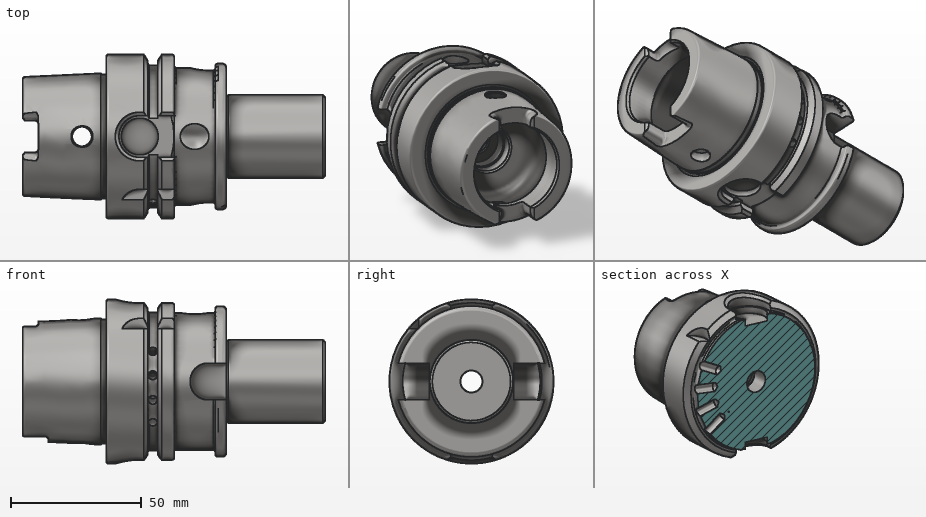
import cadquery as cq
import math

OVERSHOOT = 5.8

OVERALL_LENGTH = 116.0
TAPER_END = 29.9
FLANGE_START = 32.0
COLLAR_END = 58.1
RING_START = 73.8
RING_END = 78.1
NECK_END = 78.8
SHANK_LEAD_END = 79.5

TAPER_NOSE_RADIUS = 22.9
TAPER_BASE_RADIUS = 24.2
RELIEF_RADIUS = 23.8
FLANGE_RADIUS = 63.0 / 2
BODY_RADIUS = 26.3
RING_RADIUS = 28.9
NECK_RADIUS = 15.5
SHANK_RADIUS = 16.0

NOSE_FILLET = 1.2
RELIEF_RUNOUT = 0.8
RELIEF_STEP = 0.2
FACE_UNDERCUT_RADIUS = 25.3
FACE_UNDERCUT_DEPTH = 0.3
FLANGE_FILLET = 1.0
BODY_ROOT_FILLET = 0.7
RING_FRONT_FILLET = 1.2
RING_REAR_FILLET = 1.7
SHANK_CHAMFER = 1.0
NECK_ROOT_FILLET = 0.3
SHANK_LEAD_STEP = 0.1

GROOVE_START = 48.0
GROOVE_END = 51.7
GROOVE_FLOOR_RADIUS = 27.4
GROOVE_WALL_RADIUS = 29.0
GROOVE_FLARE = 1.6
GROOVE_ROOT_FILLET = 0.6

BORE_RADIUS = 16.9
BORE_CHAMFER = 0.6
BORE_CHAMFER_DEPTH = 1.3
BORE_STRAIGHT_DEPTH = 12.8
BORE_UNDERCUT_RADIUS = 20.0
BORE_UNDERCUT_ANGLE = 60.0
BORE_FLOOR_FILLET = 4.4
BORE_DEPTH = 30.3
TUBE_SEAT_RADIUS = 8.7
TUBE_SEAT_CHAMFER = 0.7
TUBE_THREAD_RADIUS = 8.1
TUBE_THREAD_START = 5.8
TUBE_SEAT_DEPTH = 11.6
COOLANT_RADIUS = 4.2
COOLANT_CHAMFER = 0.6

NOTCH_HALF_WIDTH = 6.0
NOTCH_LIP_RADIUS = 3.1
NOTCH_LIP_HEIGHT = 18.0
NOTCH_FLOOR_FILLET = 1.3
NOTCH_MOUTH_WIDTH = 1.2
NOTCH_MOUTH_DEPTH = 0.9
UPPER_NOTCH_DEPTH = 6.0
LOWER_NOTCH_DEPTH = 9.9

CROSS_HOLE_X = 22.7
CROSS_HOLE_RADIUS = 3.7
CROSS_HOLE_RIM = 0.5
CROSS_HOLE_RIM_DEPTH = 1.0

DRIVE_CENTER_X = 44.9
DRIVE_HALF_WIDTH = 8.0
DRIVE_FLOOR_HEIGHT = 26.5
DRIVE_CHAMFER = 1.4
DRIVE_RUNOUT = 1.3
DRIVE_RECESS_RADIUS = 7.1
DRIVE_RECESS_DEPTH = 2.7

ORIENTATION_CUT = 20.2
ORIENTATION_END_RADIUS = 7.7

BALANCE_RADIUS = 3.4 / 2
BALANCE_BOTTOM_RADIUS = 19.1
BALANCE_TIP_LENGTH = 1.0
BALANCE_ANGLES = (25, 5, -15, -35)

KEY_CENTER_X = 71.2
KEY_HALF_WIDTH = 7.1
KEY_FLOOR_OFFSET = 16.2
DIMPLE_X = 65.9
DIMPLE_SPHERE_RADIUS = 8.2
DIMPLE_SPHERE_HEIGHT = 32.5


def disc(start, end, radius):
    """Solid cylinder about the X axis."""
    return cq.Workplane("YZ", origin=(start, 0, 0)).circle(radius).extrude(end - start)


def turned(points):
    """Solid of revolution about the X axis from (x, radius) points."""
    return cq.Workplane("XY").polyline(points).close().revolve(360, (0, 0), (1, 0))


def root_fillet(x, radius, size):
    """Concave ring filling the corner between a cylinder and a shoulder.

    The shoulder stands at x; the ring lies behind it for a positive size and ahead of it for a negative one.
    """
    height = radius + abs(size)
    return (
        cq.Workplane("XY")
        .moveTo(x, radius)
        .lineTo(x, height)
        .radiusArc((x + size, radius), -size)
        .close()
        .revolve(360, (0, 0), (1, 0))
    )


def flipped(shape):
    """The same shape turned half round the X axis."""
    return shape.rotate((0, 0, 0), (1, 0, 0), 180)


def taper():
    cone = turned([
        (0, 0),
        (0, TAPER_NOSE_RADIUS),
        (TAPER_END, TAPER_BASE_RADIUS),
        (TAPER_END, RELIEF_RADIUS + RELIEF_STEP),
        (TAPER_END + RELIEF_RUNOUT, RELIEF_RADIUS),
        (FLANGE_START, RELIEF_RADIUS),
        (FLANGE_START, 0),
    ])
    return cone.faces("<X").edges().fillet(NOSE_FILLET)


def drive_slot():
    """Slot above the axis, round at its front end and open to the rear."""
    outline = cq.Workplane("XY", origin=(0, 0, DRIVE_FLOOR_HEIGHT))
    round_end = outline.center(DRIVE_CENTER_X, 0).circle(DRIVE_HALF_WIDTH).extrude(FLANGE_RADIUS)
    run = COLLAR_END + OVERSHOOT - DRIVE_CENTER_X
    channel = (
        outline.center(DRIVE_CENTER_X + run / 2, 0)
        .rect(run, 2 * DRIVE_HALF_WIDTH)
        .extrude(FLANGE_RADIUS)
    )
    return round_end.union(channel)


def drive_recess():
    """Round recess sunk into the floor of the upper drive slot."""
    return (
        cq.Workplane("XY", origin=(DRIVE_CENTER_X, 0, DRIVE_FLOOR_HEIGHT - DRIVE_RECESS_DEPTH))
        .circle(DRIVE_RECESS_RADIUS)
        .extrude(DRIVE_RECESS_DEPTH + OVERSHOOT)
    )


def v_groove():
    groove = turned([
        (GROOVE_START, GROOVE_FLOOR_RADIUS),
        (GROOVE_START, GROOVE_WALL_RADIUS),
        (GROOVE_START - GROOVE_FLARE, FLANGE_RADIUS),
        (GROOVE_START - GROOVE_FLARE, FLANGE_RADIUS + OVERSHOOT),
        (GROOVE_END + GROOVE_FLARE, FLANGE_RADIUS + OVERSHOOT),
        (GROOVE_END + GROOVE_FLARE, FLANGE_RADIUS),
        (GROOVE_END, GROOVE_WALL_RADIUS),
        (GROOVE_END, GROOVE_FLOOR_RADIUS),
    ])
    return groove.cut(root_fillet(GROOVE_START, GROOVE_FLOOR_RADIUS, GROOVE_ROOT_FILLET))


def orientation_notch():
    """Corner cut at the upper -Y side, rounded at its front end."""
    corner_y = -ORIENTATION_CUT
    plane = cq.Workplane("XY", origin=(0, 0, ORIENTATION_CUT))
    run = COLLAR_END - DRIVE_CENTER_X
    channel = (
        plane.center(DRIVE_CENTER_X + run / 2, corner_y - ORIENTATION_END_RADIUS)
        .rect(run, 2 * ORIENTATION_END_RADIUS)
        .extrude(FLANGE_RADIUS)
    )
    round_end = (
        plane.center(DRIVE_CENTER_X, corner_y - ORIENTATION_END_RADIUS)
        .circle(ORIENTATION_END_RADIUS)
        .extrude(FLANGE_RADIUS)
    )
    return channel.union(round_end)


def balance_hole(angle):
    """Drilled radial hole on the -Y side, raised by the given angle above the horizontal."""
    hole = (
        cq.Workplane("XY", origin=((GROOVE_START + GROOVE_END) / 2, 0, 0))
        .polyline([
            (0, BALANCE_TIP_LENGTH - BALANCE_BOTTOM_RADIUS),
            (BALANCE_RADIUS, -BALANCE_BOTTOM_RADIUS),
            (BALANCE_RADIUS, -GROOVE_WALL_RADIUS),
            (0, -GROOVE_WALL_RADIUS),
        ])
        .close()
        .revolve(360, (0, 0), (0, 1))
    )
    return hole.rotate((0, 0, 0), (1, 0, 0), -angle)


def face_undercut():
    """Shallow undercut in the flange face around the taper."""
    groove_floor = FLANGE_START + FACE_UNDERCUT_DEPTH
    return turned([
        (FLANGE_START, RELIEF_RADIUS),
        (groove_floor, RELIEF_RADIUS),
        (groove_floor, TAPER_BASE_RADIUS),
        (FLANGE_START, FACE_UNDERCUT_RADIUS),
    ])


def drive_runout():
    """Conical slope where the upper drive slot runs out behind the flange."""
    slope = turned([
        (COLLAR_END - DRIVE_RUNOUT, BODY_RADIUS + DRIVE_RUNOUT),
        (COLLAR_END, BODY_RADIUS),
        (COLLAR_END + BODY_ROOT_FILLET, BODY_RADIUS),
        (COLLAR_END + BODY_ROOT_FILLET, BODY_RADIUS + DRIVE_RUNOUT),
    ])
    return slope.intersect(drive_slot().translate((0, 0, -DRIVE_RUNOUT)))


def flange():
    """Rounded flange disc with a chamfered drive slot above and below."""
    blank = disc(FLANGE_START, COLLAR_END, FLANGE_RADIUS)
    rounded = blank.faces("<X or >X").edges().fillet(FLANGE_FILLET)
    mouth_height = math.sqrt(FLANGE_RADIUS**2 - DRIVE_HALF_WIDTH**2)
    mouth_edges = cq.selectors.BoxSelector(
        (FLANGE_START + FLANGE_FILLET, -FLANGE_RADIUS, mouth_height - DRIVE_CHAMFER / 2),
        (COLLAR_END - FLANGE_FILLET, FLANGE_RADIUS, FLANGE_RADIUS + OVERSHOOT),
    )
    for _ in ("above", "below"):
        blank = blank.cut(drive_slot()).edges(mouth_edges).chamfer(DRIVE_CHAMFER)
        blank = flipped(blank)
    return blank.intersect(rounded)


def body():
    """Body between flange and ring, with the ring at its rear end."""
    barrel = disc(COLLAR_END, RING_START, BODY_RADIUS)
    ring = disc(RING_START, RING_END, RING_RADIUS)
    ring = ring.faces("<X").edges().fillet(RING_FRONT_FILLET)
    ring = ring.faces(">X").edges().fillet(RING_REAR_FILLET)
    front_root = root_fillet(COLLAR_END, BODY_RADIUS, BODY_ROOT_FILLET)
    rear_root = root_fillet(RING_START, BODY_RADIUS, -BODY_ROOT_FILLET)
    return barrel.union(ring).union(front_root).union(rear_root)


def shank():
    neck = disc(RING_END, NECK_END, NECK_RADIUS)
    pilot = turned([
        (NECK_END, 0),
        (NECK_END, SHANK_RADIUS - SHANK_LEAD_STEP),
        (SHANK_LEAD_END, SHANK_RADIUS),
        (OVERALL_LENGTH - SHANK_CHAMFER, SHANK_RADIUS),
        (OVERALL_LENGTH, SHANK_RADIUS - SHANK_CHAMFER),
        (OVERALL_LENGTH, 0),
    ])
    return neck.union(root_fillet(RING_END, NECK_RADIUS, NECK_ROOT_FILLET)).union(pilot)


def bore():
    """Taper bore with clamping undercut and rounded floor corner, coolant tube seat and coolant passage."""
    shoulder_length = (BORE_UNDERCUT_RADIUS - BORE_RADIUS) / math.tan(math.radians(BORE_UNDERCUT_ANGLE))
    cavity = turned([
        (0, 0),
        (0, BORE_RADIUS + BORE_CHAMFER),
        (BORE_CHAMFER_DEPTH, BORE_RADIUS),
        (BORE_STRAIGHT_DEPTH, BORE_RADIUS),
        (BORE_STRAIGHT_DEPTH + shoulder_length, BORE_UNDERCUT_RADIUS),
        (BORE_DEPTH, BORE_UNDERCUT_RADIUS),
        (BORE_DEPTH, 0),
    ])
    cavity = cavity.faces(">X").edges().fillet(BORE_FLOOR_FILLET)
    seat_end = BORE_DEPTH + TUBE_SEAT_DEPTH
    passage = turned([
        (BORE_DEPTH, 0),
        (BORE_DEPTH, TUBE_SEAT_RADIUS + TUBE_SEAT_CHAMFER),
        (BORE_DEPTH + TUBE_SEAT_CHAMFER, TUBE_SEAT_RADIUS),
        (BORE_DEPTH + TUBE_THREAD_START, TUBE_SEAT_RADIUS),
        (BORE_DEPTH + TUBE_THREAD_START, TUBE_THREAD_RADIUS),
        (seat_end, TUBE_THREAD_RADIUS),
        (seat_end, COOLANT_RADIUS + COOLANT_CHAMFER),
        (seat_end + COOLANT_CHAMFER, COOLANT_RADIUS),
        (OVERALL_LENGTH, COOLANT_RADIUS),
        (OVERALL_LENGTH, 0),
    ])
    return cavity.union(passage)


def nose_notch(depth):
    """Notch above the axis whose walls round outward near the taper surface."""
    lip_y = NOTCH_HALF_WIDTH + NOTCH_LIP_RADIUS
    lip_top = NOTCH_LIP_HEIGHT + NOTCH_LIP_RADIUS
    outer_y = lip_y + OVERSHOOT
    top = TAPER_BASE_RADIUS + OVERSHOOT
    notch = (
        cq.Workplane("YZ")
        .moveTo(-NOTCH_HALF_WIDTH, 0)
        .lineTo(-NOTCH_HALF_WIDTH, NOTCH_LIP_HEIGHT)
        .radiusArc((-lip_y, lip_top), -NOTCH_LIP_RADIUS)
        .lineTo(-outer_y, lip_top)
        .lineTo(-outer_y, top)
        .lineTo(outer_y, top)
        .lineTo(outer_y, lip_top)
        .lineTo(lip_y, lip_top)
        .radiusArc((NOTCH_HALF_WIDTH, NOTCH_LIP_HEIGHT), -NOTCH_LIP_RADIUS)
        .lineTo(NOTCH_HALF_WIDTH, 0)
        .close()
        .extrude(depth)
    )
    notch = notch.faces(">X").edges("not(<Z or >Z or <Y or >Y)").fillet(NOTCH_FLOOR_FILLET)
    mouth_half_width = NOTCH_HALF_WIDTH + NOTCH_MOUTH_WIDTH
    mouth = (
        cq.Workplane("XY")
        .polyline([
            (0, -mouth_half_width),
            (0, mouth_half_width),
            (NOTCH_MOUTH_DEPTH, NOTCH_HALF_WIDTH),
            (NOTCH_MOUTH_DEPTH, -NOTCH_HALF_WIDTH),
        ])
        .close()
        .extrude(top)
    )
    return notch.union(mouth)


def cross_hole():
    """Hole through both taper walls with a countersunk upper rim."""
    rim_bottom = TAPER_BASE_RADIUS - CROSS_HOLE_RIM_DEPTH
    rim_radius = CROSS_HOLE_RADIUS + CROSS_HOLE_RIM
    top = TAPER_BASE_RADIUS + OVERSHOOT
    profile = [
        (0, -top),
        (CROSS_HOLE_RADIUS, -top),
        (CROSS_HOLE_RADIUS, rim_bottom),
        (rim_radius, rim_bottom + CROSS_HOLE_RIM),
        (rim_radius, top),
        (0, top),
    ]
    plane = cq.Workplane("XZ", origin=(CROSS_HOLE_X, 0, 0))
    return plane.polyline(profile).close().revolve(360, (0, 0), (0, 1))


def key_slot():
    """Slot on the -Y side, round at its front end and open to the rear."""
    plane = cq.Workplane("XZ", origin=(0, -KEY_FLOOR_OFFSET, 0))
    run = RING_END - KEY_CENTER_X
    channel = plane.center(KEY_CENTER_X + run / 2, 0).rect(run, 2 * KEY_HALF_WIDTH).extrude(RING_RADIUS)
    round_end = plane.center(KEY_CENTER_X, 0).circle(KEY_HALF_WIDTH).extrude(RING_RADIUS)
    return channel.union(round_end)


def dimple():
    return cq.Workplane("XY", origin=(DIMPLE_X, 0, DIMPLE_SPHERE_HEIGHT)).sphere(DIMPLE_SPHERE_RADIUS)


result = taper().union(flange()).union(body()).union(shank())
cutters = [
    bore(),
    nose_notch(UPPER_NOTCH_DEPTH),
    flipped(nose_notch(LOWER_NOTCH_DEPTH)),
    cross_hole(),
    face_undercut(),
    v_groove(),
    drive_runout(),
    flipped(drive_runout()),
    drive_recess(),
    flipped(drive_recess()),
    orientation_notch(),
    key_slot(),
    flipped(key_slot()),
    dimple(),
]
cutters += [balance_hole(angle) for angle in BALANCE_ANGLES]
for cutter in cutters:
    result = result.cut(cutter)